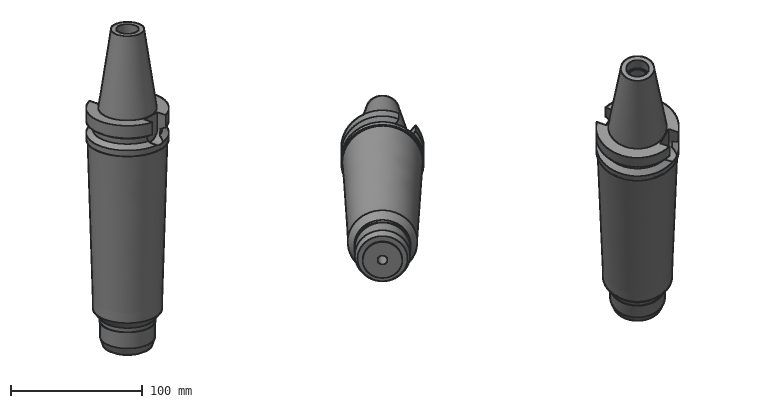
import cadquery as cq


GAUGE_RADIUS = 44.45 / 2
TAPER_LENGTH = 65.4
TAPER_RATIO = 7 / 24
TAPER_TOP_RADIUS = GAUGE_RADIUS - TAPER_LENGTH * TAPER_RATIO / 2

FLANGE_RADIUS = 63 / 2
FLANGE_TOP_Z = -1.0
FLANGE_BOTTOM_Z = -27.0
GROOVE_CENTRE_Z = -16.6
GROOVE_RADIUS = 53 / 2
GROOVE_FLOOR_HALF_WIDTH = 2.2
GROOVE_MOUTH_HALF_WIDTH = 5.2

SLOT_WIDTH = 16.1
SLOT_FLOOR_X = 22.5
SLOT_END_Z = -22.6

BODY_TOP_RADIUS = 61 / 2
BODY_LOWER_RADIUS = 53 / 2
BODY_TAPER_END_Z = -161.0
BODY_CYLINDER_END_Z = -169.5
BODY_CHAMFER_END_Z = -176.1

NECK_RADIUS = 43 / 2
NUT_RADIUS = 42 / 2
NUT_TOP_Z = -179.8
NUT_CYLINDER_END_Z = -193.5
NUT_CONE_END_Z = -199.7
NUT_CONE_END_RADIUS = 19.0
NOSE_TOP_RADIUS = 14.6
NOSE_END_RADIUS = 15.1
NOSE_END_Z = -202.0

PILOT_RADIUS = 17 / 2
PILOT_DEPTH = 9.0
THREAD_RADIUS = 14 / 2
THREAD_DEPTH = 30.0
THROUGH_RADIUS = 7.4 / 2


def turned_outside():
    """Solid of revolution, its half profile running from the shank end to the nose."""
    profile = [
        (0, TAPER_LENGTH),
        (TAPER_TOP_RADIUS, TAPER_LENGTH),
        (GAUGE_RADIUS, 0),
        (GAUGE_RADIUS, FLANGE_TOP_Z),
        (FLANGE_RADIUS, FLANGE_TOP_Z),
        (FLANGE_RADIUS, GROOVE_CENTRE_Z + GROOVE_MOUTH_HALF_WIDTH),
        (GROOVE_RADIUS, GROOVE_CENTRE_Z + GROOVE_FLOOR_HALF_WIDTH),
        (GROOVE_RADIUS, GROOVE_CENTRE_Z - GROOVE_FLOOR_HALF_WIDTH),
        (FLANGE_RADIUS, GROOVE_CENTRE_Z - GROOVE_MOUTH_HALF_WIDTH),
        (FLANGE_RADIUS, FLANGE_BOTTOM_Z),
        (BODY_TOP_RADIUS, FLANGE_BOTTOM_Z),
        (BODY_LOWER_RADIUS, BODY_TAPER_END_Z),
        (BODY_LOWER_RADIUS, BODY_CYLINDER_END_Z),
        (NECK_RADIUS, BODY_CHAMFER_END_Z),
        (NECK_RADIUS, NUT_TOP_Z),
        (NUT_RADIUS, NUT_TOP_Z),
        (NUT_RADIUS, NUT_CYLINDER_END_Z),
        (NUT_CONE_END_RADIUS, NUT_CONE_END_Z),
        (NOSE_TOP_RADIUS, NUT_CONE_END_Z),
        (NOSE_END_RADIUS, NOSE_END_Z),
        (0, NOSE_END_Z),
    ]
    return cq.Workplane("XZ").polyline(profile).close().revolve(360, (0, 0), (0, 1))


def drive_slot(side):
    """Round-ended cutter for one drive slot; side is +1 for the +X slot and -1 for the -X slot."""
    half_width = SLOT_WIDTH / 2
    arc_centre_z = SLOT_END_Z + half_width
    return (
        cq.Workplane("YZ", origin=(side * SLOT_FLOOR_X, 0, 0))
        .moveTo(-half_width, 0)
        .lineTo(-half_width, arc_centre_z)
        .threePointArc((0, SLOT_END_Z), (half_width, arc_centre_z))
        .lineTo(half_width, 0)
        .close()
        .extrude(side * FLANGE_RADIUS)
    )


def bore_step(radius, depth):
    """Cylinder reaching down from the shank end."""
    return cq.Workplane("XY", origin=(0, 0, TAPER_LENGTH)).circle(radius).extrude(-depth)


result = turned_outside()
for side in (1, -1):
    result = result.cut(drive_slot(side))

bore_steps = [
    (PILOT_RADIUS, PILOT_DEPTH),
    (THREAD_RADIUS, THREAD_DEPTH),
    (THROUGH_RADIUS, TAPER_LENGTH - NOSE_END_Z),
]
for radius, depth in bore_steps:
    result = result.cut(bore_step(radius, depth))